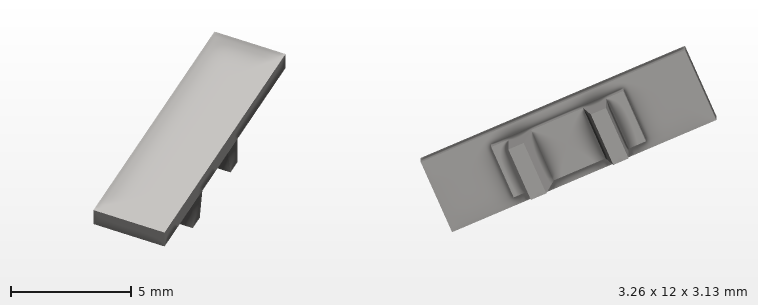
import cadquery as cq

plate_width = 3.26
plate_length = 12.0
plate_thickness = 0.79

step_width = 2.35
step_length = 6.0
step_thickness = 0.55

total_height = 3.13
leg_outer_span = 4.44
leg_root_gap = 2.35
leg_tip_thickness = 0.7

step_top = total_height - plate_thickness
leg_top = step_top - step_thickness


def centered_block(width, length, bottom, height):
    """Block centred on the Z axis, standing on the height `bottom`."""
    return (
        cq.Workplane("XY")
        .workplane(offset=bottom)
        .rect(width, length)
        .extrude(height)
    )


def leg(side):
    """Tapered leg on the +Y (side=1) or -Y (side=-1) half."""
    outer = side * leg_outer_span / 2
    tip_inner = side * (leg_outer_span / 2 - leg_tip_thickness)
    root_inner = side * leg_root_gap / 2
    profile = [(outer, 0), (outer, leg_top), (root_inner, leg_top), (tip_inner, 0)]
    return cq.Workplane("YZ").polyline(profile).close().extrude(step_width / 2, both=True)


plate = centered_block(plate_width, plate_length, step_top, plate_thickness)
step = centered_block(step_width, step_length, leg_top, step_thickness)

result = plate.union(step)
for side in (-1, 1):
    result = result.union(leg(side))